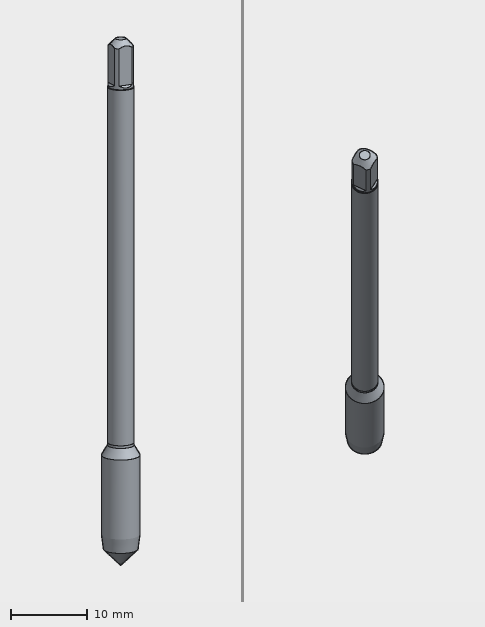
import cadquery as cq

total_length = 72.0
taper_end_z = 4.25
shoulder_z = 15.1
shoulder_top_z = 16.5
joint_z = 16.85
shaft_top_z = 65.35
runout_z = 65.9

head_radius = 5.1 / 2
shaft_radius = 3.5 / 2
drive_radius = 3.4 / 2
point_radius = 2.3
drive_tip_radius = 0.7

drive_flats = 2.8
cutter_size = 3 * drive_radius
point_height = point_radius


def revolve_profile(points):
    """Revolve a closed (radius, height) outline around Z."""
    return cq.Workplane("XZ").polyline(points).close().revolve(360, (0, 0, 0), (0, 1, 0))


def make_head():
    """Pointed cylindrical head with a conical shoulder and a short collar up to the joint."""
    return revolve_profile([
        (0, 0),
        (point_radius, point_height),
        (head_radius, taper_end_z),
        (head_radius, shoulder_z),
        (shaft_radius, shoulder_top_z),
        (shaft_radius, joint_z),
        (0, joint_z),
    ])


def make_flat_cutter():
    """Block beyond one drive flat, with a 45 degree run-out at its lower end."""
    flat_x = drive_flats / 2
    outer_x = flat_x + cutter_size
    return (
        cq.Workplane("XZ")
        .polyline([
            (flat_x, runout_z),
            (outer_x, runout_z - cutter_size),
            (outer_x, total_length),
            (flat_x, total_length),
        ])
        .close()
        .extrude(cutter_size / 2, both=True)
    )


def make_shaft():
    """Round shaft that stands on the head collar and ends in a square drive."""
    chamfer_height = drive_radius - drive_tip_radius
    shaft = revolve_profile([
        (0, joint_z),
        (shaft_radius, joint_z),
        (shaft_radius, shaft_top_z),
        (drive_radius, shaft_top_z + shaft_radius - drive_radius),
        (drive_radius, total_length - chamfer_height),
        (drive_tip_radius, total_length),
        (0, total_length),
    ])
    cutter = make_flat_cutter()
    for angle in (0, 90, 180, 270):
        shaft = shaft.cut(cutter.rotate((0, 0, 0), (0, 0, 1), angle))
    return shaft


head = make_head()
shaft = make_shaft()
result = cq.Compound.makeCompound([head.val(), shaft.val()])